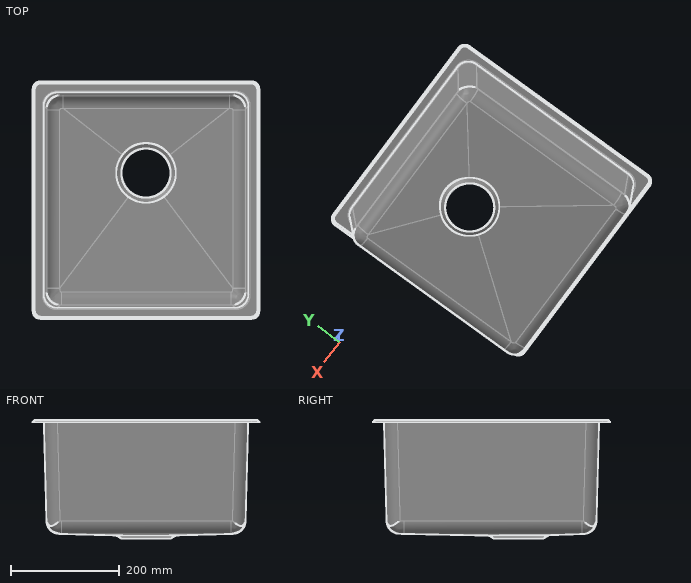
import cadquery as cq
import math

sheet = 1.0
overall_depth = 220.0

rim_x = 420.0
rim_y = 440.0
lip_drop = 5.0
lip_run = 4.0
rim_corner_radius = 15.0

rim_width = 20.6
bowl_half_x = rim_x / 2 - rim_width
bowl_half_y = rim_y / 2 - rim_width
wall_draft = 1.5
floor_edge_depth = 211.0
bowl_radius = 25.0

mouth_radius = 4.0

floor_fall = 5.0
drain_y = 50.0

drain_hole_radius = 45.0
drain_recess_radius = 55.0
drain_recess_depth = 5.8


def rectangle_corners(half_x, half_y, z):
    return [
        cq.Vector(-half_x, -half_y, z),
        cq.Vector(half_x, -half_y, z),
        cq.Vector(half_x, half_y, z),
        cq.Vector(-half_x, half_y, z),
    ]


def bowl_body(inset):
    """Solid bowl shape whose walls and floor lie `inset` inside the outer skin."""
    depth = floor_edge_depth - inset
    draft_run = floor_edge_depth * math.tan(math.radians(wall_draft))
    half_x = bowl_half_x - inset
    half_y = bowl_half_y - inset
    mouth = rectangle_corners(half_x, half_y, 0)
    base = rectangle_corners(half_x - draft_run, half_y - draft_run, -depth)
    low_point = cq.Vector(0, drain_y, -depth - floor_fall)

    outlines = [mouth]
    for i in range(4):
        j = (i + 1) % 4
        outlines.append([mouth[i], mouth[j], base[j], base[i]])
        outlines.append([base[i], base[j], low_point])
    faces = [cq.Face.makeFromWires(cq.Wire.makePolygon(points, close=True)) for points in outlines]
    body = cq.Solid.makeSolid(cq.Shell.makeShell(faces))

    radius = bowl_radius - inset
    perimeter = [edge for edge in body.Edges() if abs(edge.Center().z + depth) < sheet]
    body = body.fillet(radius, perimeter)
    uprights = [edge for edge in body.Edges() if -0.8 * depth < edge.Center().z < -0.2 * depth]
    return cq.Workplane(body.fillet(radius, uprights))


def rim_block(inset, height):
    """Block under the rim surface, its sloping sides set in by `inset` at the lip's lower edge."""
    slope = math.degrees(math.atan2(lip_run, lip_drop))
    return (
        cq.Workplane()
        .workplane(offset=-lip_drop)
        .sketch()
        .rect(rim_x - 2 * inset, rim_y - 2 * inset)
        .vertices()
        .fillet(rim_corner_radius - inset)
        .finalize()
        .extrude(height, taper=slope)
    )


def rim_sheet():
    lip_inset = sheet * math.hypot(lip_run, lip_drop) / lip_drop
    return rim_block(0, lip_drop).cut(rim_block(lip_inset, lip_drop - sheet))


def drain_cone(widening):
    """Cone of the drain recess, grown in radius by `widening`."""
    cone = cq.Solid.makeCone(
        drain_hole_radius + widening,
        drain_recess_radius + widening,
        drain_recess_depth,
        pnt=cq.Vector(0, drain_y, -overall_depth),
    )
    return cq.Workplane(cone)


def drain_opening():
    """Cone and the short round step above it that clears the sloping floor."""
    step = (
        cq.Workplane(origin=(0, drain_y, drain_recess_depth - overall_depth))
        .circle(drain_recess_radius)
        .extrude(drain_recess_depth)
    )
    return drain_cone(0).union(step)


def mouth_edges(sink):
    """Edges of the bowl opening on the top face of the rim."""
    return sink.faces(">Z").val().innerWires()[0].Edges()


sink = rim_sheet().union(bowl_body(0)).union(drain_cone(sheet))
sink = sink.cut(bowl_body(sheet)).cut(drain_opening())
result = cq.Workplane(sink.val().fillet(mouth_radius, mouth_edges(sink)))